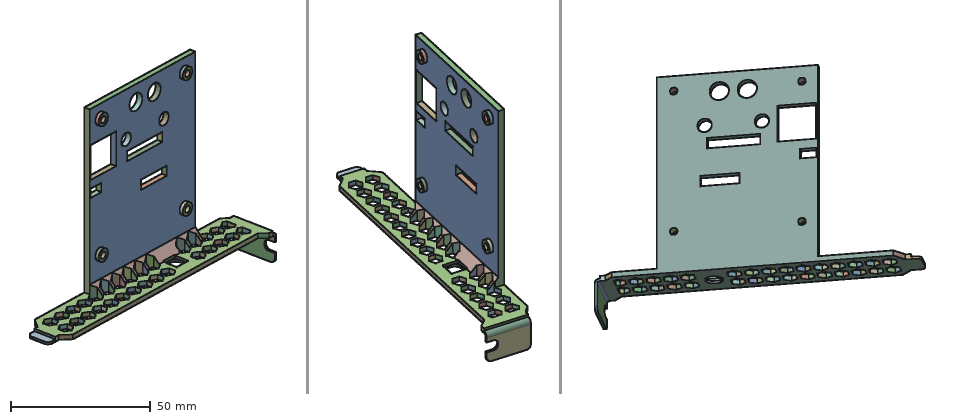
import cadquery as cq
import math


LENGTH = 119.2
STRIP_WIDTH = 18.0
STRIP_THICKNESS = 2.0
SHEET_THICKNESS = 1.0
TAB_LEFT, TAB_RIGHT = 4.4, 14.4
TAB_LENGTH = 3.8
TAB_NECK_Y = 5.7
TAB_TAPER_Y = 9.3
CORNER_RADIUS = 2.0

FLANGE_LEFT, FLANGE_RIGHT = 2.5, 21.0
FLANGE_DROP = 11.5
BEND_OUTER_RADIUS = 1.9
FLANGE_NECK_Y = LENGTH - 3.9
FLANGE_TAPER_Y = LENGTH - 6.8
BEND_INNER_RADIUS = BEND_OUTER_RADIUS - SHEET_THICKNESS
NOTCH_WIDTH = 4.3
NOTCH_CENTER_X = 18.2
NOTCH_CENTER_Z = -5.1

HEX_FLATS = 5.0
HEX_PITCH_Y = 6.3
HEX_COLUMNS_X = (5.5, 12.6)
HEX_GROUPS = (
    (11.7, 10),
    (85.5, 5),
)
HEX_LIMIT_Y = FLANGE_TAPER_Y

BOLT_X = (TAB_LEFT + TAB_RIGHT) / 2
BOLT_Y = 76.7
BOLT_DIAMETER = 6.4
BOLT_RECESS_DEPTH = STRIP_THICKNESS / 2

PLATE_THICKNESS = 2.5
PLATE_Y = 36.9
PLATE_WIDTH = 59.0
PLATE_TOP = 77.0
GUSSET_LEG = 3.9

SCREW_SPACING_Y = 47.0
SCREW_SPACING_Z = 54.9
SCREW_CENTER_Y = 29.3
SCREW_CENTER_Z = 43.6
SCREW_DIAMETER = 2.7
STANDOFF_DIAMETER = 5.2
STANDOFF_HEIGHT = 1.5

ROUND_OPENINGS = (
    (25.9, 69.7, 7.0),
    (36.1, 69.7, 7.0),
    (20.5, 56.7, 5.2),
    (41.5, 56.7, 5.2),
)
WINDOWS = (
    (0.7, 48.1, 14.1, 14.1),
    (0.54, 40.9, 6.1, 3.7),
    (21.1, 47.7, 19.5, 4.0),
    (28.7, 33.0, 14.4, 4.0),
)


def box(x0, x1, y0, y1, z0, z1):
    return cq.Workplane("XY").box(x1 - x0, y1 - y0, z1 - z0, centered=False).translate((x0, y0, z0))


def cylinder_along_x(x0, x1, y, z, diameter):
    return cq.Workplane("YZ", origin=(x0, y, z)).circle(diameter / 2).extrude(x1 - x0)


def make_strip():
    outline = [
        (TAB_LEFT, TAB_LENGTH),
        (TAB_LEFT, TAB_NECK_Y),
        (0, TAB_TAPER_Y),
        (0, FLANGE_TAPER_Y),
        (FLANGE_LEFT, FLANGE_NECK_Y),
        (FLANGE_LEFT, LENGTH - BEND_OUTER_RADIUS),
        (FLANGE_RIGHT, LENGTH - BEND_OUTER_RADIUS),
        (FLANGE_RIGHT, FLANGE_NECK_Y),
        (STRIP_WIDTH, FLANGE_TAPER_Y),
        (STRIP_WIDTH, TAB_TAPER_Y),
        (TAB_RIGHT, TAB_NECK_Y),
        (TAB_RIGHT, TAB_LENGTH),
    ]
    return cq.Workplane("XY").polyline(outline).close().extrude(STRIP_THICKNESS)


def make_tab():
    tab = box(TAB_LEFT, TAB_RIGHT, 0, TAB_LENGTH, 0, SHEET_THICKNESS)
    return tab.edges("|Z and <Y").fillet(CORNER_RADIUS)


def make_flange():
    bend_y = LENGTH - BEND_OUTER_RADIUS
    bend_z = -BEND_INNER_RADIUS
    wall = box(FLANGE_LEFT, FLANGE_RIGHT, LENGTH - SHEET_THICKNESS, LENGTH, -FLANGE_DROP, bend_z)
    wall = wall.edges("|Y and <Z").fillet(CORNER_RADIUS)
    axis = cq.Workplane("YZ", origin=(FLANGE_LEFT, bend_y, bend_z))
    ring = axis.circle(BEND_OUTER_RADIUS).circle(BEND_INNER_RADIUS).extrude(FLANGE_RIGHT - FLANGE_LEFT)
    quarter = box(FLANGE_LEFT, FLANGE_RIGHT, bend_y, LENGTH, bend_z, SHEET_THICKNESS)
    flange = wall.union(ring.intersect(quarter))
    radius = NOTCH_WIDTH / 2
    notch = (
        cq.Workplane("XZ", origin=(0, LENGTH, 0))
        .moveTo(FLANGE_RIGHT, NOTCH_CENTER_Z - radius)
        .lineTo(NOTCH_CENTER_X, NOTCH_CENTER_Z - radius)
        .threePointArc((NOTCH_CENTER_X - radius, NOTCH_CENTER_Z), (NOTCH_CENTER_X, NOTCH_CENTER_Z + radius))
        .lineTo(FLANGE_RIGHT, NOTCH_CENTER_Z + radius)
        .close()
        .extrude(SHEET_THICKNESS)
    )
    return flange.cut(notch)


def make_plate():
    plate = box(0, PLATE_THICKNESS, PLATE_Y, PLATE_Y + PLATE_WIDTH, 0, PLATE_TOP)
    gusset = (
        cq.Workplane("XZ", origin=(PLATE_THICKNESS, PLATE_Y, STRIP_THICKNESS))
        .polyline([(0, 0), (GUSSET_LEG, 0), (0, GUSSET_LEG)])
        .close()
        .extrude(-PLATE_WIDTH)
    )
    return plate.union(gusset)


def make_vent_holes():
    rows = [first_y + row * HEX_PITCH_Y for first_y, count in HEX_GROUPS for row in range(count)]
    height = STRIP_THICKNESS + GUSSET_LEG
    holes = (
        cq.Workplane("XY")
        .pushPoints([(x, y) for x in HEX_COLUMNS_X for y in rows])
        .polygon(6, HEX_FLATS / math.cos(math.pi / 6))
        .extrude(height)
    )
    return holes.intersect(box(0, STRIP_WIDTH, 0, HEX_LIMIT_Y, 0, height))


def make_bolt_hole():
    half = BOLT_DIAMETER / 2
    recess = box(
        BOLT_X - half, BOLT_X + half,
        BOLT_Y - half, BOLT_Y + half,
        STRIP_THICKNESS - BOLT_RECESS_DEPTH, STRIP_THICKNESS + GUSSET_LEG,
    )
    hole = cq.Workplane("XY").center(BOLT_X, BOLT_Y).circle(half).extrude(STRIP_THICKNESS)
    return recess.union(hole)


def screw_positions():
    return [
        (
            PLATE_Y + SCREW_CENTER_Y + side_y * SCREW_SPACING_Y / 2,
            SCREW_CENTER_Z + side_z * SCREW_SPACING_Z / 2,
        )
        for side_y in (-1, 1)
        for side_z in (-1, 1)
    ]


def add_standoffs(body):
    tip_x = PLATE_THICKNESS + STANDOFF_HEIGHT
    for y, z in screw_positions():
        body = body.union(cylinder_along_x(PLATE_THICKNESS, tip_x, y, z, STANDOFF_DIAMETER))
        body = body.cut(cylinder_along_x(0, tip_x, y, z, SCREW_DIAMETER))
    return body


def cut_plate_openings(body):
    for distance, height, diameter in ROUND_OPENINGS:
        body = body.cut(cylinder_along_x(0, PLATE_THICKNESS, PLATE_Y + distance, height, diameter))
    for near, bottom, width, height in WINDOWS:
        start_y = PLATE_Y + near
        body = body.cut(box(0, PLATE_THICKNESS, start_y, start_y + width, bottom, bottom + height))
    return body


bracket = make_strip().union(make_tab()).union(make_flange()).union(make_plate())
bracket = bracket.cut(make_vent_holes()).cut(make_bolt_hole())
bracket = add_standoffs(bracket)
result = cut_plate_openings(bracket)